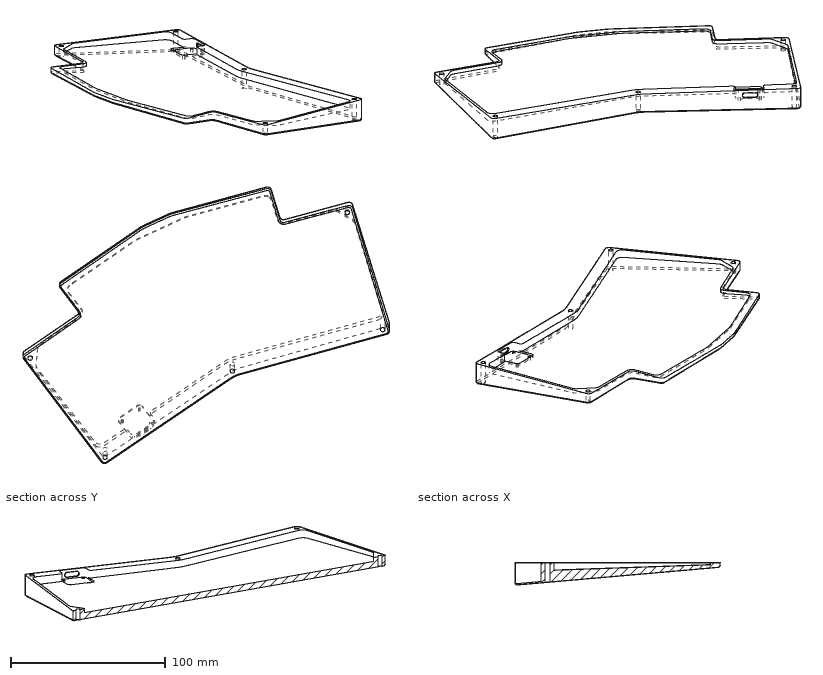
import cadquery as cq
import math

SPLAY = math.radians(10)
BACK_EDGE_ANGLE = math.radians(9.5)

WIDTH = 237.5
LENGTH = 132.8
HEIGHT = 14.5

WING_DEPTH = 90.0
PALM_OUT = 57.5
PALM_DEPTH = 115.0
CORNER_DIAMETER = 5.0
CORNER_RADIUS = CORNER_DIAMETER / 2
BEND_RADIUS = 20.0

BOTTOM_TILT = math.radians(5)
BOTTOM_CHAMFER = 1.0

BACK_RIM = 8.0
MIDDLE_RIM = 8.5
SIDE_RIM = 2.0
FRONT_RIM = 5.2
TIP_RIM = 6.6
TRAY_CORNER_RADIUS = 4.0
BEVEL_ALONG_SIDE = 11.2
BEVEL_ALONG_WING = 10.0
TRAY_DEPTH = 5.0
TRAY_TILT = math.radians(2)

SCREW_DIAMETER = 2.8
SCREW_INSET = 4.0

POCKET_OUT = 72.0
POCKET_WIDTH = 18.5
POCKET_LENGTH = 17.0
POCKET_START = 0.7
POCKET_DEPTH = 6.2
POCKET_MOUTH_RADIUS = 2.0
PIN_DIAMETER = 1.62
PIN_DEPTH = 2.0
PIN_SPACING_OUT = 13.8
PIN_SPACING_FWD = 12.4
SLOT_WIDTH = 10.0
SLOT_HEIGHT = 3.3
SLOT_Z = -3.5

corner_fwd = WING_DEPTH - CORNER_RADIUS
corner_x = WIDTH / 2 - CORNER_RADIUS
corner_out = (corner_x - corner_fwd * math.sin(SPLAY)) / math.cos(SPLAY)
wing_out = corner_out + CORNER_RADIUS
back_y = corner_out * math.sin(SPLAY) + CORNER_RADIUS * (1 - math.cos(SPLAY))
front_y = back_y - LENGTH
middle_back_y = wing_out * (math.sin(SPLAY) - math.cos(SPLAY) * math.tan(BACK_EDGE_ANGLE))
bottom_depth = HEIGHT - (back_y - BOTTOM_CHAMFER) * math.tan(BOTTOM_TILT)

CUT_SIZE = 3 * WIDTH


def left_point(out, fwd):
    """Point of the left half, from its own frame to X, Y."""
    x = -out * math.cos(SPLAY) - fwd * math.sin(SPLAY)
    y = out * math.sin(SPLAY) - fwd * math.cos(SPLAY)
    return x, y


def tip_point(fwd, y):
    """Point at y on the left half's line that lies at the distance fwd."""
    x = -(y + fwd / math.cos(SPLAY)) / math.tan(SPLAY)
    return x, y


def mirrored(points):
    return [(-x, y) for x, y in points]


def fillet_upright(solid, points, radius):
    """Round the upright edges that stand nearest to the points."""
    for x, y in points:
        edge = solid.edges("|Z").edges(cq.NearestToPointSelector((x, y, 0)))
        solid = edge.fillet(radius)
    return solid


def symmetric_prism(middle, left_corners, left_tip, corner_radius):
    """Prism below Z = 0, with rounded corners and gently rounded middle and tips."""
    left = left_corners + [left_tip]
    outline = [middle] + left + mirrored(left)[::-1]
    prism = cq.Workplane("XY").polyline(outline).close().extrude(-2 * HEIGHT)
    prism = fillet_upright(prism, left_corners + mirrored(left_corners), corner_radius)
    return fillet_upright(prism, [middle, left_tip] + mirrored([left_tip]), BEND_RADIUS)


def block_below(depth, tilt):
    """Block under a plane that is depth below Z = 0 at Y = 0 and rises toward the front."""
    block = cq.Workplane("XY").box(CUT_SIZE, CUT_SIZE, CUT_SIZE)
    block = block.translate((0, 0, -CUT_SIZE / 2))
    block = block.rotate((0, 0, 0), (1, 0, 0), -math.degrees(tilt))
    return block.translate((0, 0, -depth))


def case_body():
    corners = [
        left_point(wing_out, 0),
        left_point(wing_out, WING_DEPTH),
        left_point(PALM_OUT, WING_DEPTH),
        left_point(PALM_OUT, PALM_DEPTH),
    ]
    middle = (0, middle_back_y)
    tip = tip_point(PALM_DEPTH, front_y)
    body = symmetric_prism(middle, corners, tip, CORNER_RADIUS)
    body = body.cut(block_below(bottom_depth, BOTTOM_TILT))
    return body.faces("<Z").chamfer(BOTTOM_CHAMFER)


def tray():
    side = wing_out - SIDE_RIM
    wing_front = WING_DEPTH - SIDE_RIM
    palm_side = PALM_OUT - SIDE_RIM
    palm_front = PALM_DEPTH - FRONT_RIM
    corners = [
        left_point(side, BACK_RIM),
        left_point(side, wing_front - BEVEL_ALONG_SIDE),
        left_point(side - BEVEL_ALONG_WING, wing_front),
        left_point(palm_side, wing_front),
        left_point(palm_side, palm_front),
    ]
    middle = (0, middle_back_y - MIDDLE_RIM)
    tip = tip_point(palm_front, front_y + TIP_RIM)
    hollow = symmetric_prism(middle, corners, tip, TRAY_CORNER_RADIUS)
    return hollow.cut(block_below(TRAY_DEPTH, TRAY_TILT))


def screw_holes():
    out = wing_out - SCREW_INSET
    wing_screws = [
        left_point(out, SCREW_INSET),
        left_point(out, WING_DEPTH - SCREW_INSET),
    ]
    points = [(0, middle_back_y - SCREW_INSET)] + wing_screws + mirrored(wing_screws)
    holes = cq.Workplane("XY").pushPoints(points).circle(SCREW_DIAMETER / 2)
    return holes.extrude(-2 * HEIGHT)


def controller_pocket():
    """Pocket, pin holes and cable slot, made square to the axes and then turned by the splay."""
    pocket_mid = POCKET_START + POCKET_LENGTH / 2
    plan = cq.Workplane("XY", origin=(-POCKET_OUT, -pocket_mid, 0))
    pocket = plan.rect(POCKET_WIDTH, POCKET_LENGTH).extrude(-POCKET_DEPTH)
    pocket = pocket.edges("|Z").fillet(CORNER_RADIUS)
    pins = plan.rect(PIN_SPACING_OUT, PIN_SPACING_FWD, forConstruction=True).vertices()
    pins = pins.circle(PIN_DIAMETER / 2).extrude(-POCKET_DEPTH - PIN_DEPTH)
    slot = cq.Workplane("XZ", origin=(-POCKET_OUT, 0, SLOT_Z)).slot2D(SLOT_WIDTH, SLOT_HEIGHT)
    slot = slot.extrude(pocket_mid, both=True)
    cutter = pocket.union(pins).union(slot)
    return cutter.rotate((0, 0, 0), (0, 0, 1), -math.degrees(SPLAY))


pocket_mouth = [left_point(POCKET_OUT + side * POCKET_WIDTH / 2, BACK_RIM) for side in (-1, 1)]

result = case_body().cut(tray()).cut(controller_pocket())
result = fillet_upright(result, pocket_mouth, POCKET_MOUTH_RADIUS)
result = result.cut(screw_holes())